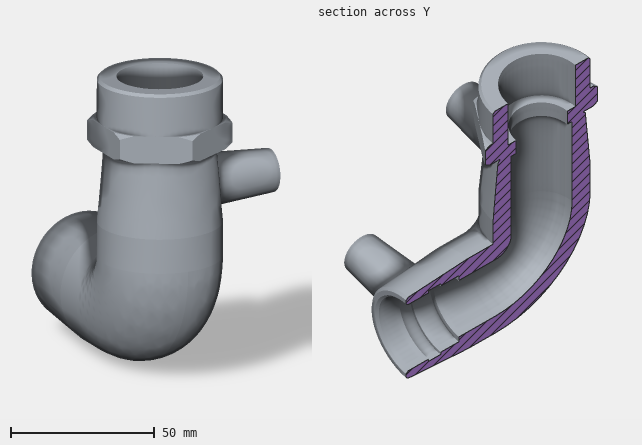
import cadquery as cq
import math

body_radius = 21.98
bend_radius = 20.8

taper_start = 33.3
leg_length = 61.0
tip_radius = 19.8
edge_chamfer = 1.0

height = 108.0
top_z = height - body_radius
hex_thickness = 9.8
hex_bottom_z = leg_length
hex_top_z = hex_bottom_z + hex_thickness
hex_corner_radius = body_radius / math.cos(math.radians(30))
hex_chamfer_width = 2.0
hex_chamfer_height = 1.4

passage_radius = 13.6
throat_radius = 23.0 / 2
throat_bottom_z = 59.4
collar_bore_radius = 15.1
collar_bore_depth = 20.1
socket_radius = 32.0 / 2
socket_depth = 23.8
groove_offset = 10.2
groove_width = 5.4
groove_depth = 1.1

peg_spacing = 45.7
peg_end_y = 65.0 - body_radius
peg_tip_radius = 7.8
peg_root_radius = 9.3
peg_root_y = 21.6
peg_start_y = 17.3
peg_slope = (peg_root_radius - peg_tip_radius) / (peg_end_y - peg_root_y)
peg_start_radius = peg_root_radius + peg_slope * (peg_root_y - peg_start_y)


def upright_cylinder(radius, bottom, top):
    return cq.Workplane("XY").workplane(offset=bottom).circle(radius).extrude(top - bottom)


def lay_along_minus_x(solid):
    """Turn a body built along +Z so that it points to -X."""
    return solid.rotate((0, 0, 0), (0, 1, 0), -90)


def leg():
    """Straight tube followed by a slight taper with a chamfered end, along +Z."""
    chamfer_z = leg_length - edge_chamfer
    return (
        cq.Workplane("XZ")
        .moveTo(0, bend_radius)
        .lineTo(body_radius, bend_radius)
        .lineTo(body_radius, taper_start)
        .lineTo(tip_radius, chamfer_z)
        .lineTo(tip_radius - edge_chamfer, leg_length)
        .lineTo(0, leg_length)
        .close()
        .revolve(360, (0, 0, 0), (0, 1, 0))
    )


def elbow_outside():
    """Quarter bend; the tube is wider than the bend radius, so it is cut off at the bend axis."""
    half_width = math.sqrt(body_radius**2 - bend_radius**2)
    return (
        cq.Workplane("XY", origin=(0, 0, bend_radius))
        .moveTo(-bend_radius, -half_width)
        .radiusArc((body_radius, 0), -body_radius)
        .radiusArc((-bend_radius, half_width), -body_radius)
        .close()
        .revolve(90, (-bend_radius, 0, 0), (-bend_radius, 1, 0))
    )


def elbow_passage():
    return (
        cq.Workplane("XY", origin=(0, 0, bend_radius))
        .circle(passage_radius)
        .revolve(90, (-bend_radius, 0, 0), (-bend_radius, 1, 0))
    )


def hexagon():
    """Hexagon with its corners bevelled by a cone at both ends."""
    prism = (
        cq.Workplane("XY")
        .workplane(offset=hex_bottom_z)
        .polygon(6, 2 * hex_corner_radius)
        .extrude(hex_thickness)
    )
    bevelled_disc = upright_cylinder(hex_corner_radius, hex_bottom_z, hex_top_z)
    bevelled_disc = bevelled_disc.edges("%CIRCLE").chamfer(hex_chamfer_height, hex_chamfer_width)
    return prism.intersect(bevelled_disc)


def collar():
    return upright_cylinder(body_radius, hex_top_z, top_z).faces(">Z").edges().chamfer(edge_chamfer)


def peg(x, z):
    return (
        cq.Workplane("XY")
        .moveTo(0, peg_start_y)
        .lineTo(peg_start_radius, peg_start_y)
        .lineTo(peg_tip_radius, peg_end_y)
        .lineTo(0, peg_end_y)
        .close()
        .revolve(360, (0, 0, 0), (0, 1, 0))
        .translate((x, 0, z))
    )


def socket():
    """Passage, stepped socket with an inner groove and a chamfered mouth, along -X."""
    groove_top = leg_length - groove_offset
    cutter = upright_cylinder(passage_radius, bend_radius, leg_length)
    cutter = cutter.union(upright_cylinder(socket_radius, leg_length - socket_depth, leg_length))
    cutter = cutter.union(
        upright_cylinder(socket_radius + groove_depth, groove_top - groove_width, groove_top)
    )
    mouth = (
        cq.Workplane("XY")
        .workplane(offset=leg_length)
        .circle(socket_radius + edge_chamfer)
        .workplane(offset=-edge_chamfer)
        .circle(socket_radius)
        .loft(ruled=True)
    )
    return lay_along_minus_x(cutter.union(mouth))


def upright_passage():
    cutter = upright_cylinder(passage_radius, bend_radius, throat_bottom_z)
    cutter = cutter.union(upright_cylinder(throat_radius, throat_bottom_z, top_z))
    return cutter.union(upright_cylinder(collar_bore_radius, top_z - collar_bore_depth, top_z))


result = elbow_outside().union(leg()).union(lay_along_minus_x(leg()))
result = result.union(hexagon()).union(collar())
for peg_x, peg_z in ((-peg_spacing, 0), (0, peg_spacing)):
    result = result.union(peg(peg_x, peg_z))
result = result.cut(elbow_passage()).cut(socket()).cut(upright_passage())